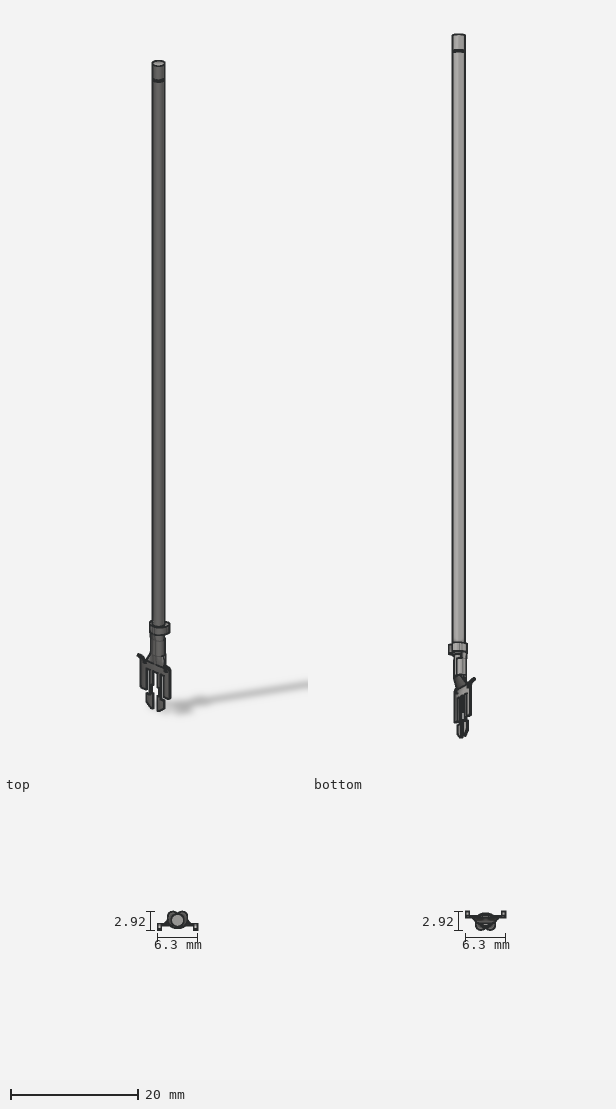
import cadquery as cq
import math


arc_middle = math.cos(math.radians(45))

total_length = 113.24
insulation_diameter = 2.0
conductor_diameter = 1.5
insulation_end_z = 13.1
strip_gap = 0.3
slug_length = 2.5

insulation_crimp = dict(half_width=1.55, flat=0.2, side_bottom=0.1, lobe_y=0.56, lobe_radius=0.82)
conductor_crimp = dict(half_width=1.26, flat=0.34, side_bottom=-0.16, lobe_y=-0.08, lobe_radius=0.64)
insulation_crimp_bottom, insulation_crimp_top = 13.45, 14.8
conductor_crimp_bottom, conductor_crimp_top = 9.7, 12.4
trough_top_y = 0.0
shoulder_rim_y = 0.35

overall_width = 6.3
sheet = 0.3
plate_front_y = -0.85
plate_top_z = 8.0
plate_half_width = 2.05
slot_top_z = 6.6
arm_bottom_z = 2.87
arm_inner_x = 1.9
arm_chamfer = 0.2
leg_outer_x = 1.2
leg_inner_x = 0.51
waist_inner_x = 0.85
waist_top_z, waist_bottom_z = 4.1, 2.6
barb_top_z = 2.2
barb_half_width = 1.9
barb_side_bottom_z = 0.8
barb_tip_x = 0.85

ear_width = 0.62
ear_notch_z = 7.45
ear_bend_z = 7.75
ear_bend_angle = math.radians(45)
ear_bend_radius = 0.6
ear_tip_y = -1.54


def cylinder(diameter, bottom, top):
    return cq.Workplane("XY").workplane(offset=bottom).circle(diameter / 2).extrude(top - bottom)


def wire():
    slug_bottom = total_length - slug_length
    conductor = cylinder(conductor_diameter, conductor_crimp_bottom, total_length)
    insulation = cylinder(insulation_diameter, insulation_end_z, slug_bottom - strip_gap)
    slug = cylinder(insulation_diameter, slug_bottom, total_length)
    return conductor.union(insulation).union(slug)


def crimp(bottom, top, half_width, flat, side_bottom, lobe_y, lobe_radius):
    """Crimp with a flat-bottomed round base and two lobes that curl in and meet at X = 0."""
    base_radius = half_width - flat
    base_y = side_bottom - base_radius
    lobe_x = half_width - lobe_radius
    lobe_top = (lobe_x, lobe_y + lobe_radius)
    valley = (0, lobe_y + math.sqrt(lobe_radius**2 - lobe_x**2))
    base_middle = (flat + base_radius * arc_middle, side_bottom - base_radius * arc_middle)
    profile = (
        cq.Workplane("XY")
        .workplane(offset=bottom)
        .moveTo(-flat, base_y)
        .lineTo(flat, base_y)
        .threePointArc(base_middle, (half_width, side_bottom))
        .lineTo(half_width, lobe_y)
        .threePointArc(lobe_top, valley)
        .threePointArc((-lobe_top[0], lobe_top[1]), (-half_width, lobe_y))
        .lineTo(-half_width, side_bottom)
        .threePointArc((-base_middle[0], base_middle[1]), (-flat, base_y))
        .close()
    )
    return profile.extrude(top - bottom)


def trough_section(z, half_width, flat, side_bottom, base_y, rim_y):
    """Closed wire of a section with a flat bottom, rounded lower corners and a flat rim."""
    middle_x = flat + (half_width - flat) * arc_middle
    middle_y = side_bottom - (side_bottom - base_y) * arc_middle
    section = (
        cq.Workplane("XY")
        .workplane(offset=z)
        .moveTo(-flat, base_y)
        .lineTo(flat, base_y)
        .threePointArc((middle_x, middle_y), (half_width, side_bottom))
        .lineTo(half_width, rim_y)
        .lineTo(-half_width, rim_y)
        .lineTo(-half_width, side_bottom)
        .threePointArc((-middle_x, middle_y), (-flat, base_y))
        .close()
    )
    return section.val()


def crimp_section(z, shape, rim_y, half_width):
    base_y = shape["side_bottom"] - (shape["half_width"] - shape["flat"])
    side_bottom = min(shape["side_bottom"], rim_y - sheet / 2)
    return trough_section(z, half_width, shape["flat"], side_bottom, base_y, rim_y)


def ruled_loft(lower, upper):
    return cq.Workplane(cq.Solid.makeLoft([lower, upper], True))


def trough():
    half_width = conductor_crimp["half_width"]
    upper = crimp_section(insulation_crimp_bottom, insulation_crimp, trough_top_y, half_width)
    lower = crimp_section(conductor_crimp_top, conductor_crimp, trough_top_y, half_width)
    return ruled_loft(lower, upper)


def shoulder():
    half_width = conductor_crimp["half_width"]
    upper = crimp_section(conductor_crimp_bottom, conductor_crimp, shoulder_rim_y, half_width)
    lower = trough_section(
        plate_top_z,
        plate_half_width,
        conductor_crimp["flat"],
        plate_front_y + sheet / 2,
        plate_front_y,
        plate_front_y + sheet,
    )
    return ruled_loft(lower, upper)


def fork():
    """Flat plate with two outer arms and two barbed inner legs."""
    half_outline = [
        (0, plate_top_z),
        (plate_half_width, plate_top_z),
        (plate_half_width, ear_notch_z),
        (overall_width / 2 - ear_width, ear_notch_z),
        (overall_width / 2 - ear_width, ear_bend_z),
        (overall_width / 2, ear_bend_z),
        (overall_width / 2, arm_bottom_z + arm_chamfer),
        (overall_width / 2 - arm_chamfer, arm_bottom_z),
        (arm_inner_x, arm_bottom_z),
        (arm_inner_x, slot_top_z),
        (leg_outer_x, slot_top_z),
        (leg_outer_x, barb_top_z),
        (barb_half_width, barb_top_z),
        (barb_half_width, barb_side_bottom_z),
        (barb_tip_x, 0),
        (leg_inner_x, 0),
        (leg_inner_x, waist_bottom_z),
        (waist_inner_x, waist_bottom_z),
        (waist_inner_x, waist_top_z),
        (leg_inner_x, waist_top_z),
        (leg_inner_x, slot_top_z),
        (0, slot_top_z),
    ]
    half = cq.Workplane("XZ", origin=(0, plate_front_y, 0)).polyline(half_outline).close().extrude(-sheet)
    return half.union(half.mirror("YZ"))


def ear(side):
    """Tab that continues an outer arm upward and bends forward, with a square-cut end."""
    inner = ear_bend_radius
    outer = ear_bend_radius + sheet
    centre_y = plate_front_y - inner

    def on_bend(radius, angle):
        return (centre_y + radius * math.cos(angle), ear_bend_z + radius * math.sin(angle))

    inner_end = on_bend(inner, ear_bend_angle)
    outer_end = on_bend(outer, ear_bend_angle)
    reach_y = ear_tip_y - inner_end[0]
    rise_z = -reach_y / math.tan(ear_bend_angle)
    left = side * (overall_width - ear_width) / 2 - ear_width / 2
    return (
        cq.Workplane("YZ", origin=(left, 0, 0))
        .moveTo(plate_front_y, ear_bend_z)
        .lineTo(plate_front_y + sheet, ear_bend_z)
        .threePointArc(on_bend(outer, ear_bend_angle / 2), outer_end)
        .lineTo(outer_end[0] + reach_y, outer_end[1] + rise_z)
        .lineTo(inner_end[0] + reach_y, inner_end[1] + rise_z)
        .lineTo(*inner_end)
        .threePointArc(on_bend(inner, ear_bend_angle / 2), (plate_front_y, ear_bend_z))
        .close()
        .extrude(ear_width)
    )


terminal = crimp(insulation_crimp_bottom, insulation_crimp_top, **insulation_crimp)
terminal = terminal.union(crimp(conductor_crimp_bottom, conductor_crimp_top, **conductor_crimp))
terminal = terminal.union(trough()).union(shoulder()).union(fork())
for side in (-1, 1):
    terminal = terminal.union(ear(side))

result = terminal.union(wire())